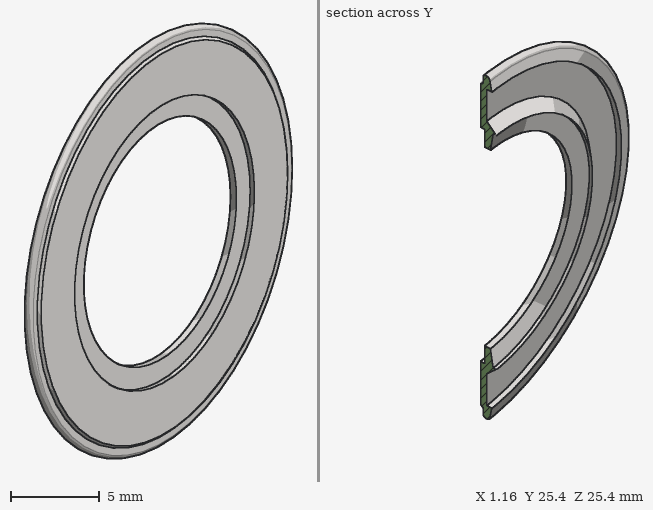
import cadquery as cq

bore_radius = 7.32
crest_radius = 8.63
boss_base_radius = 9.33
lip_inner_radius = 11.66
back_face_radius = 11.83
outer_radius = 12.675

crest_x = 0.0
dish_rim_x = 0.23
bore_front_x = 0.43
bore_length = 0.43
lip_peak_x = 0.33
rim_front_x = 0.465
rim_back_x = 1.0
back_x = 1.16

floor_x = crest_x + boss_base_radius - crest_radius
back_chamfer = back_x - rim_back_x

rim_round = (rim_back_x - rim_front_x) / 2
rim_tangent_radius = outer_radius - rim_round
rim_middle_x = (rim_front_x + rim_back_x) / 2

recess_x = bore_front_x + bore_length


def half_section():
    """Closed section of the ring in the XY plane, with Y as the radius."""
    return (
        cq.Workplane("XY")
        .moveTo(bore_front_x, bore_radius)
        .lineTo(dish_rim_x, crest_radius)
        .lineTo(crest_x, crest_radius)
        .lineTo(floor_x, boss_base_radius)
        .lineTo(floor_x, lip_inner_radius)
        .lineTo(lip_peak_x, lip_inner_radius)
        .lineTo(rim_front_x, rim_tangent_radius)
        .threePointArc((rim_middle_x, outer_radius), (rim_back_x, rim_tangent_radius))
        .lineTo(rim_back_x, back_face_radius + back_chamfer)
        .lineTo(back_x, back_face_radius)
        .lineTo(back_x, crest_radius)
        .lineTo(recess_x, crest_radius)
        .lineTo(recess_x, bore_radius)
        .close()
    )


result = half_section().revolve(360, (0, 0, 0), (1, 0, 0))